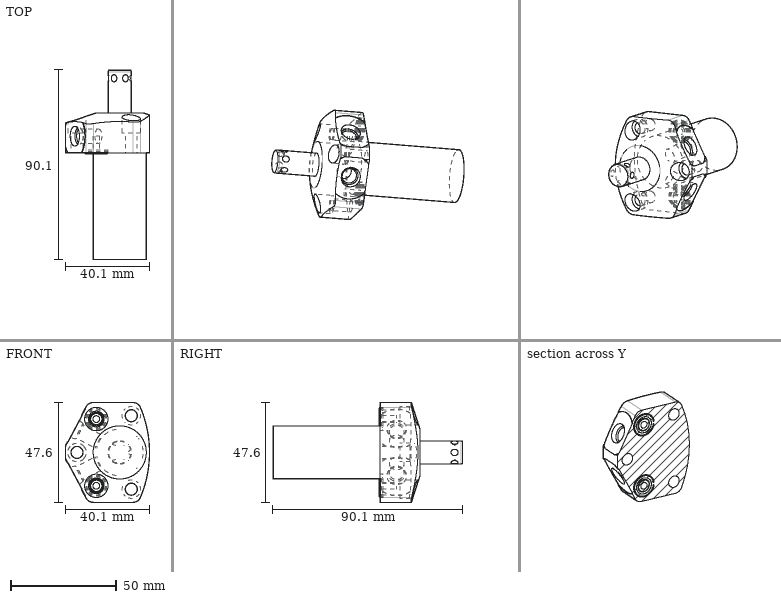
import math

import cadquery as cq


CYLINDER_DIAMETER = 25.3
CYLINDER_LENGTH = 50.8
ROD_DIAMETER = 11.11
ROD_END_Y = 39.32
ROD_TAPER_LENGTH = 0.8
ROD_TAPER_INSET = 0.25

DIMPLE_COUNT = 6
DIMPLE_DIAMETER = 3.4
DIMPLE_DEPTH = 1.7
DIMPLE_END_OFFSET = 3.85

FLANGE_THICKNESS = 19.05
FLANGE_HEIGHT = 47.62
FLANGE_LEFT_X = -25.9
FLANGE_RIGHT_X = 14.21
LEFT_FLAT_HALF_HEIGHT = 3.15
SLANT_ANGLE = 62.0
RIGHT_ARC_RADIUS = 55.0
CORNER_RADIUS = 4.0

CONE_FLAT_RADIUS = 11.11
CONE_SLOPE_ANGLE = 18.0
CONE_OUTER_RADIUS = 40.0

SCREW_CENTERS = [(-20.32, 0.0), (5.5, 17.46), (5.5, -17.46)]
SCREW_HOLE_DIAMETER = 5.6
SCREW_HEAD_DIAMETER = 8.73
SCREW_HEAD_SEAT_Y = 9.5

PORT_Y = 7.94
PORT_Z = 11.27
SPOTFACE_DIAMETER = 21.2
SPOTFACE_DEPTH = 0.254
PORT_MOUTH_DIAMETER = 9.4
PORT_TAPER_END_DIAMETER = 8.2
PORT_BORE_DIAMETER = 7.0
PORT_TAPER_DEPTH = 2.25
PORT_BORE_START = 2.85
PORT_DEPTH = 12.7
CUTTER_CLEARANCE = 3.0

SEAL_X = -11.15
SEAL_Z = 15.87
GROOVE_DIAMETER = 11.11
GROOVE_DEPTH = 1.3
SEAL_PROTRUSION = 0.52
SEAL_SQUEEZE = 0.04
BOSS_BASE_DIAMETER = 6.4
BOSS_TOP_DIAMETER = 5.35
BOSS_RECESS = 0.4
MANIFOLD_HOLE_DIAMETER = 3.2
MANIFOLD_HOLE_END_Y = PORT_Y

Y_AXIS = cq.Vector(0, 1, 0)
SIDES = (1, -1)


def cylinder_along_y(diameter, start_y, end_y, x=0.0, z=0.0):
    """Cylinder parallel to Y between two Y positions."""
    solid = cq.Solid.makeCylinder(diameter / 2, end_y - start_y, cq.Vector(x, start_y, z), Y_AXIS)
    return cq.Workplane(obj=solid)


def make_flange():
    """Flange plate: filleted outline with a cone-shaped top face."""
    half_height = FLANGE_HEIGHT / 2
    slant_rise = half_height - LEFT_FLAT_HALF_HEIGHT
    top_left_x = FLANGE_LEFT_X + slant_rise / math.tan(math.radians(SLANT_ANGLE))
    arc_sag = RIGHT_ARC_RADIUS - math.sqrt(RIGHT_ARC_RADIUS**2 - half_height**2)
    top_right_x = FLANGE_RIGHT_X - arc_sag

    plate = (
        cq.Workplane("XZ")
        .moveTo(FLANGE_LEFT_X, -LEFT_FLAT_HALF_HEIGHT)
        .lineTo(FLANGE_LEFT_X, LEFT_FLAT_HALF_HEIGHT)
        .lineTo(top_left_x, half_height)
        .lineTo(top_right_x, half_height)
        .threePointArc((FLANGE_RIGHT_X, 0), (top_right_x, -half_height))
        .lineTo(top_left_x, -half_height)
        .close()
        .extrude(-FLANGE_THICKNESS)
    )
    plate = plate.edges("|Y").edges(">Z or <Z").fillet(CORNER_RADIUS)

    cone_drop = (CONE_OUTER_RADIUS - CONE_FLAT_RADIUS) * math.tan(math.radians(CONE_SLOPE_ANGLE))
    cone_envelope = (
        cq.Workplane("XY")
        .polyline([
            (0, 0),
            (CONE_OUTER_RADIUS, 0),
            (CONE_OUTER_RADIUS, FLANGE_THICKNESS - cone_drop),
            (CONE_FLAT_RADIUS, FLANGE_THICKNESS),
            (0, FLANGE_THICKNESS),
        ])
        .close()
        .revolve(360, (0, 0, 0), (0, 1, 0))
    )
    return plate.intersect(cone_envelope)


def make_screw_hole(x, z):
    """Through hole with a screw head counterbore open to the conical top."""
    hole = cylinder_along_y(SCREW_HOLE_DIAMETER, 0, FLANGE_THICKNESS, x, z)
    head = cylinder_along_y(SCREW_HEAD_DIAMETER, SCREW_HEAD_SEAT_Y, FLANGE_THICKNESS, x, z)
    return hole.union(head)


def make_port_cutter(side):
    """Spotface, tapered mouth and bore of the port on the upper (+1) or lower (-1) slant."""
    slant = math.radians(SLANT_ANGLE)
    slant_x = FLANGE_LEFT_X + (PORT_Z - LEFT_FLAT_HALF_HEIGHT) / math.tan(slant)
    inward = cq.Vector(math.sin(slant), 0, -side * math.cos(slant))
    port_plane = cq.Plane(
        origin=(slant_x, PORT_Y, side * PORT_Z),
        xDir=Y_AXIS,
        normal=Y_AXIS.cross(inward),
    )
    bore_start = SPOTFACE_DEPTH + PORT_BORE_START
    profile = [
        (0, -CUTTER_CLEARANCE),
        (SPOTFACE_DIAMETER / 2, -CUTTER_CLEARANCE),
        (SPOTFACE_DIAMETER / 2, SPOTFACE_DEPTH),
        (PORT_MOUTH_DIAMETER / 2, SPOTFACE_DEPTH),
        (PORT_TAPER_END_DIAMETER / 2, SPOTFACE_DEPTH + PORT_TAPER_DEPTH),
        (PORT_BORE_DIAMETER / 2, bore_start),
        (PORT_BORE_DIAMETER / 2, SPOTFACE_DEPTH + PORT_DEPTH),
        (0, SPOTFACE_DEPTH + PORT_DEPTH),
    ]
    return cq.Workplane(port_plane).polyline(profile).close().revolve(360, (0, 0, 0), (0, 1, 0))


def add_sealed_port(body, side):
    """Seal groove around a tapered boss with a central hole, and the O-ring in the groove."""
    z = side * SEAL_Z
    groove = cylinder_along_y(GROOVE_DIAMETER, 0, GROOVE_DEPTH, SEAL_X, z)
    boss = cq.Workplane(obj=cq.Solid.makeCone(
        BOSS_TOP_DIAMETER / 2,
        BOSS_BASE_DIAMETER / 2,
        GROOVE_DEPTH - BOSS_RECESS,
        cq.Vector(SEAL_X, BOSS_RECESS, z),
        Y_AXIS,
    ))
    hole = cylinder_along_y(MANIFOLD_HOLE_DIAMETER, 0, MANIFOLD_HOLE_END_Y, SEAL_X, z)

    section_radius = (GROOVE_DEPTH + SEAL_PROTRUSION + SEAL_SQUEEZE) / 2
    ring = cq.Workplane(obj=cq.Solid.makeTorus(
        GROOVE_DIAMETER / 2 - section_radius + SEAL_SQUEEZE,
        section_radius,
        cq.Vector(SEAL_X, section_radius - SEAL_PROTRUSION, z),
        Y_AXIS,
    ))
    return body.cut(groove.cut(boss)).cut(hole).union(ring)


def make_rod():
    """Rod with a tapered tip and a ring of conical dimples near its end."""
    radius = ROD_DIAMETER / 2
    taper_start_y = ROD_END_Y - ROD_TAPER_LENGTH
    rod = (
        cq.Workplane("XY")
        .polyline([
            (0, 0),
            (radius, 0),
            (radius, taper_start_y),
            (radius - ROD_TAPER_INSET, ROD_END_Y),
            (0, ROD_END_Y),
        ])
        .close()
        .revolve(360, (0, 0, 0), (0, 1, 0))
    )
    dimple_y = ROD_END_Y - DIMPLE_END_OFFSET
    for index in range(DIMPLE_COUNT):
        angle = 2 * math.pi * index / DIMPLE_COUNT
        outward = cq.Vector(math.cos(angle), 0, math.sin(angle))
        dimple = cq.Solid.makeCone(
            DIMPLE_DIAMETER / 2,
            0,
            DIMPLE_DEPTH,
            outward * radius + cq.Vector(0, dimple_y, 0),
            outward * -1,
        )
        rod = rod.cut(cq.Workplane(obj=dimple))
    return rod


flange = make_flange()
for screw_x, screw_z in SCREW_CENTERS:
    flange = flange.cut(make_screw_hole(screw_x, screw_z))
for port_side in SIDES:
    flange = flange.cut(make_port_cutter(port_side))
    flange = add_sealed_port(flange, port_side)

cylinder = cylinder_along_y(CYLINDER_DIAMETER, -CYLINDER_LENGTH, 0)
result = flange.union(cylinder).union(make_rod())